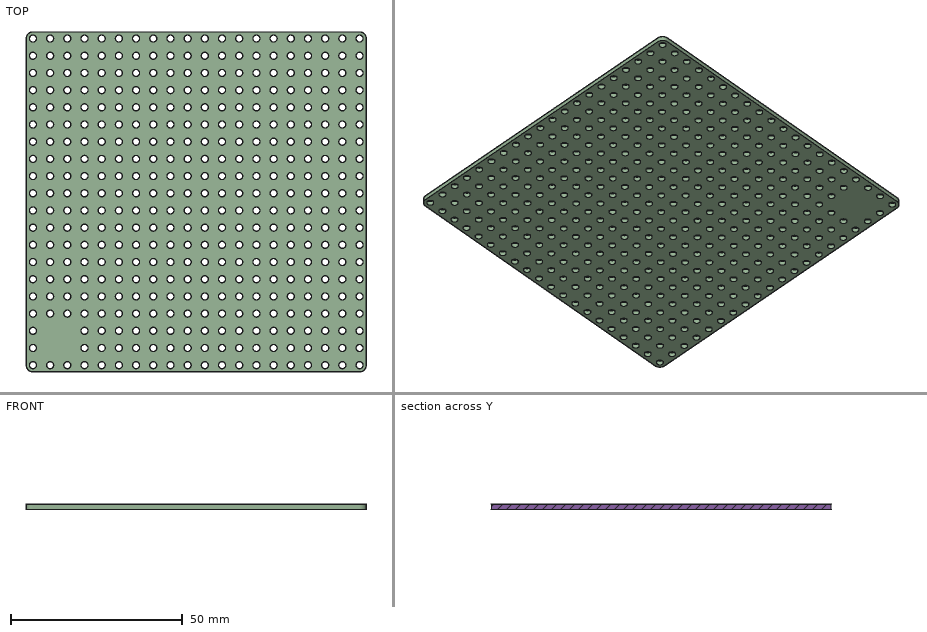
import cadquery as cq

side = 99.0
thickness = 1.6
corner_radius = 2.0

hole_diameter = 2.0
holes_per_side = 20
edge_margin = 2.0
pitch = (side - 2 * edge_margin) / (holes_per_side - 1)

blank_columns = (1, 2)
blank_rows = (1, 2)


def grid_position(index):
    """Distance of a hole column or row from the plate centre."""
    return -side / 2 + edge_margin + index * pitch


def is_drilled(column, row):
    return not (column in blank_columns and row in blank_rows)


hole_centers = [
    (grid_position(column), grid_position(row))
    for column in range(holes_per_side)
    for row in range(holes_per_side)
    if is_drilled(column, row)
]

plate = cq.Workplane("XY").box(side, side, thickness).edges("|Z").fillet(corner_radius)

result = plate.faces(">Z").workplane().pushPoints(hole_centers).hole(hole_diameter)